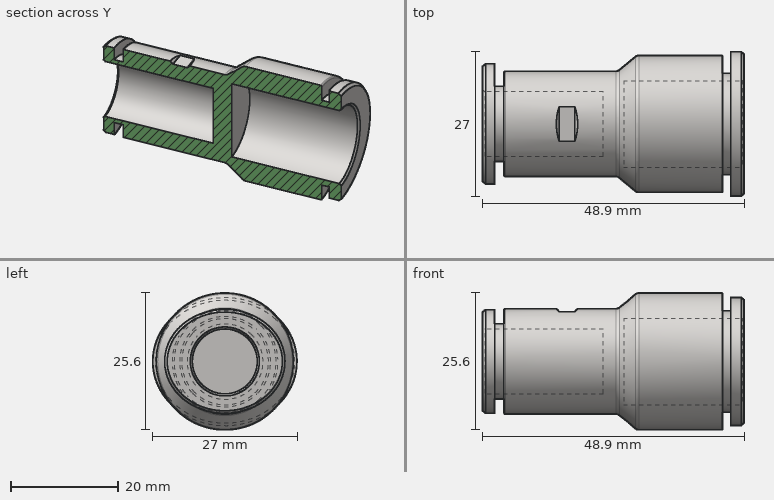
import cadquery as cq

overall_length = 48.9

small_barrel_dia = 19.7
large_barrel_dia = 25.6
housing_start = 4.0
housing_end = 44.9
cone_start = 25.3
cone_end = 28.85
cone_blend_radius = 1.0
housing_edge_radius = 0.3

small_collar_width = 22.5
small_collar_height = 19.4
small_collar_thickness = 2.3
large_collar_width = 27.0
large_collar_height = 23.95
large_collar_thickness = 2.55
collar_bevel_depth = 0.5
collar_bevel_length = 0.6
small_sleeve_dia = 14.15
large_sleeve_dia = 19.0

small_bore_dia = 12.15
tube_size_ratio = 16 / 12
large_bore_dia = small_bore_dia * tube_size_ratio
socket_depth = 22.5
mouth_chamfer = 0.4

notch_center = 15.8
notch_floor_length = 2.95
notch_depth = 0.55


def make_housing():
    small_radius = small_barrel_dia / 2
    large_radius = large_barrel_dia / 2
    profile = (
        cq.Workplane("XY")
        .moveTo(housing_start, 0)
        .lineTo(housing_start, small_radius)
        .lineTo(cone_start, small_radius)
        .lineTo(cone_end, large_radius)
        .lineTo(housing_end, large_radius)
        .lineTo(housing_end, 0)
        .close()
    )
    housing = profile.revolve(360, (0, 0, 0), (1, 0, 0))

    def circles_at(x):
        """Select the edges centered on the axis at this X."""
        slack = 0.05
        reach = overall_length
        return cq.selectors.BoxSelector((x - slack, -reach, -reach), (x + slack, reach, reach))

    housing = housing.edges(circles_at(cone_start)).fillet(cone_blend_radius)
    housing = housing.edges(circles_at(cone_end)).fillet(cone_blend_radius)
    return housing.faces("<X or >X").edges().fillet(housing_edge_radius)


def make_collar(outer_x, inward, width, height, thickness):
    """Oval collar with a beveled outer rim; inward is +1 or -1 along X."""
    bevel_x = outer_x + inward * collar_bevel_length
    half_width = width / 2
    half_height = height / 2
    disc = (
        cq.Workplane("YZ", origin=(bevel_x, 0, 0))
        .ellipse(half_width, half_height)
        .extrude(inward * (thickness - collar_bevel_length))
    )
    bevel = (
        cq.Workplane("YZ", origin=(outer_x, 0, 0))
        .ellipse(half_width - collar_bevel_depth, half_height - collar_bevel_depth)
        .workplane(offset=inward * collar_bevel_length)
        .ellipse(half_width, half_height)
        .loft(ruled=True)
    )
    return disc.union(bevel)


def make_sleeve(outer_x, inward, diameter):
    """Round core joining a collar to the housing."""
    return (
        cq.Workplane("YZ", origin=(outer_x + inward * collar_bevel_length, 0, 0))
        .circle(diameter / 2)
        .extrude(inward * socket_depth)
    )


def make_socket(outer_x, inward, diameter):
    """Blind tube bore with a chamfered mouth."""
    radius = diameter / 2
    profile = (
        cq.Workplane("XY")
        .moveTo(outer_x, 0)
        .lineTo(outer_x, radius + mouth_chamfer)
        .lineTo(outer_x + inward * mouth_chamfer, radius)
        .lineTo(outer_x + inward * socket_depth, radius)
        .lineTo(outer_x + inward * socket_depth, 0)
        .close()
    )
    return profile.revolve(360, (0, 0, 0), (1, 0, 0))


def make_notch():
    floor_z = small_barrel_dia / 2 - notch_depth
    half_floor = notch_floor_length / 2
    cutter_height = 2 * notch_depth
    half_top = half_floor + cutter_height
    return (
        cq.Workplane("XZ", origin=(notch_center, 0, floor_z))
        .moveTo(-half_floor, 0)
        .lineTo(half_floor, 0)
        .lineTo(half_top, cutter_height)
        .lineTo(-half_top, cutter_height)
        .close()
        .extrude(small_barrel_dia / 2, both=True)
    )


def add_end(body, outer_x, inward, collar, sleeve_dia, bore_dia):
    """Join one collar and its sleeve to the body, then bore the tube socket."""
    body = body.union(collar)
    body = body.union(make_sleeve(outer_x, inward, sleeve_dia))
    return body.cut(make_socket(outer_x, inward, bore_dia))


small_collar = make_collar(0, 1, small_collar_width, small_collar_height, small_collar_thickness)
large_collar = make_collar(
    overall_length, -1, large_collar_width, large_collar_height, large_collar_thickness
)

result = make_housing().cut(make_notch())
result = add_end(result, 0, 1, small_collar, small_sleeve_dia, small_bore_dia)
result = add_end(result, overall_length, -1, large_collar, large_sleeve_dia, large_bore_dia)